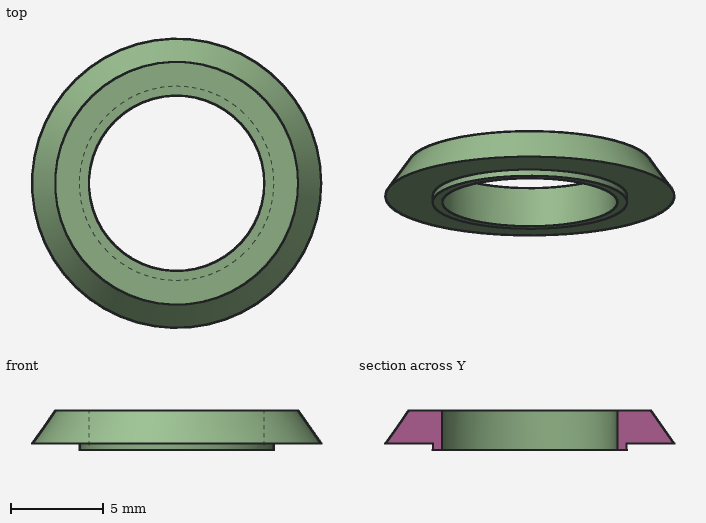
import cadquery as cq
import math

rim_diameter = 15.7
cone_height = 1.8
cone_angle = 35.0
spigot_diameter = 10.55
spigot_height = 0.35
bore_diameter = 9.5

rim_radius = rim_diameter / 2
spigot_radius = spigot_diameter / 2
bore_radius = bore_diameter / 2
top_radius = rim_radius - cone_height * math.tan(math.radians(cone_angle))
total_height = spigot_height + cone_height


def washer_profile():
    """Half section in the XZ plane, standing on Z = 0."""
    return (
        cq.Workplane("XZ")
        .moveTo(bore_radius, 0)
        .lineTo(spigot_radius, 0)
        .lineTo(spigot_radius, spigot_height)
        .lineTo(rim_radius, spigot_height)
        .lineTo(top_radius, total_height)
        .lineTo(bore_radius, total_height)
        .close()
    )


result = washer_profile().revolve(360, (0, 0, 0), (0, 1, 0))